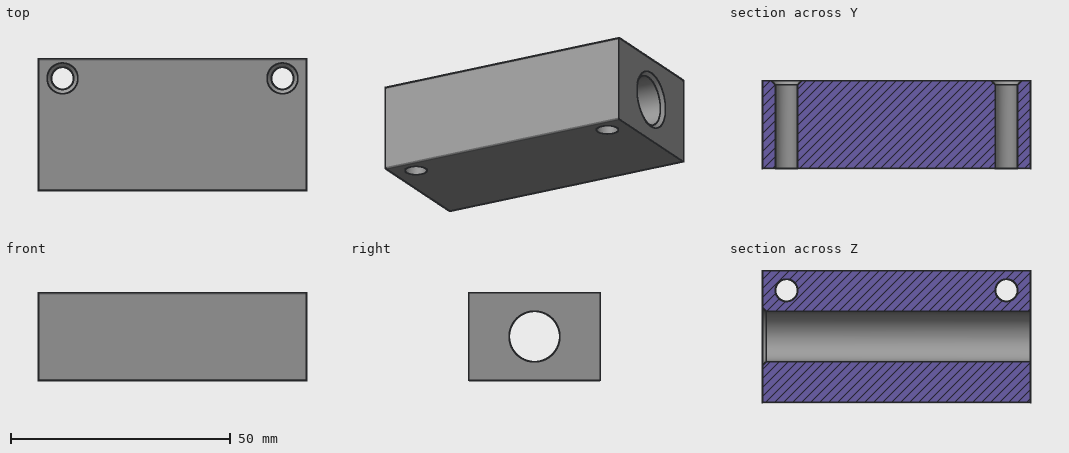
import cadquery as cq

length = 61.0
width = 30.0
height = 20.0
edge_radius = 0.3

bore_diameter = 11.445
bore_mouth_diameter = 13.157

hole_diameter = 5.0
countersink_diameter = 7.0
hole_spacing = 50.0
hole_to_back_face = 4.5
hole_y = width / 2 - hole_to_back_face

mouth_angle = 90.0


def make_block():
    """Centred block with its four lengthwise edges rounded."""
    block = cq.Workplane("XY").box(length, width, height)
    return block.edges("|X").fillet(edge_radius)


def cut_bore(body):
    """Bore along X through the middle of the block."""
    mouth = body.faces("<X").workplane(centerOption="CenterOfBoundBox")
    return mouth.cskHole(bore_diameter, bore_mouth_diameter, mouth_angle)


def cut_mounting_holes(body):
    """Pair of countersunk holes along Z, placed symmetrically about the middle."""
    centres = [(-hole_spacing / 2, hole_y), (hole_spacing / 2, hole_y)]
    top = body.faces(">Z").workplane(centerOption="CenterOfBoundBox")
    return top.pushPoints(centres).cskHole(hole_diameter, countersink_diameter, mouth_angle)


result = cut_mounting_holes(cut_bore(make_block()))